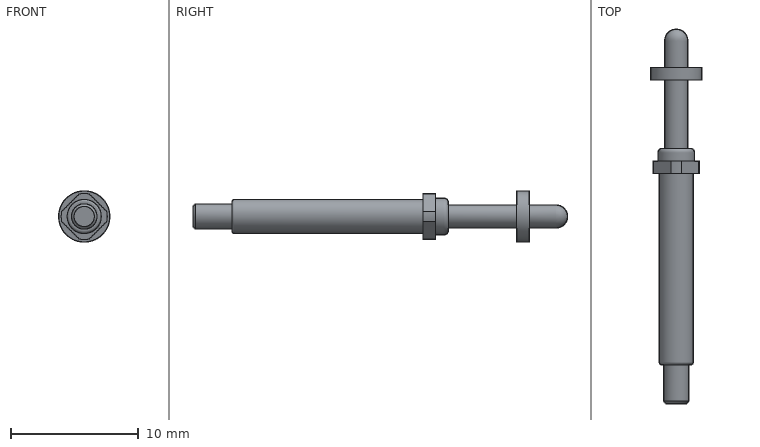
import cadquery as cq

length = 29.3

tail_diameter = 2.0
tail_length = 3.05
tail_chamfer = 0.2

body_diameter = 2.67
body_length = 14.95
body_fillet = 0.2

square_flats = 3.05
square_diameter = 3.6
square_thickness = 1.0

collar_diameter = 2.87
collar_length = 1.0
collar_fillet = 0.35

plunger_diameter = 1.82
disc_diameter = 4.0
disc_thickness = 1.0
disc_to_tip = 3.0

tail_end = -length / 2
body_start = tail_end + tail_length
square_start = body_start + body_length
collar_start = square_start + square_thickness
collar_end = collar_start + collar_length
tip = length / 2
disc_start = tip - disc_to_tip - disc_thickness


def cylinder(diameter, start, end):
    """Round bar along +Y between two stations."""
    plane = cq.Plane(origin=(0, start, 0), xDir=(1, 0, 0), normal=(0, 1, 0))
    return cq.Workplane(plane).circle(diameter / 2).extrude(end - start)


def square_collar():
    """Turned ring with four wrench flats, corners pointing along X and Z."""
    ring = cylinder(square_diameter, square_start, collar_start)
    flats = (
        cq.Workplane("XY")
        .box(square_flats, square_thickness, square_flats)
        .rotate((0, 0, 0), (0, 1, 0), 45)
        .translate((0, square_start + square_thickness / 2, 0))
    )
    return ring.intersect(flats)


def plunger():
    """Thin rod running out of the collar to a hemispherical tip."""
    tip_radius = plunger_diameter / 2
    dome_centre = tip - tip_radius
    rod = cylinder(plunger_diameter, collar_start, dome_centre)
    dome = cq.Workplane("XY").sphere(tip_radius).translate((0, dome_centre, 0))
    return rod.union(dome)


tail = cylinder(tail_diameter, tail_end, body_start).faces("<Y").chamfer(tail_chamfer)
body = cylinder(body_diameter, body_start, square_start).faces("<Y").edges().fillet(body_fillet)
collar = cylinder(collar_diameter, collar_start, collar_end).faces(">Y").edges().fillet(collar_fillet)
disc = cylinder(disc_diameter, disc_start, disc_start + disc_thickness)

result = tail.union(body).union(square_collar()).union(collar).union(plunger()).union(disc)